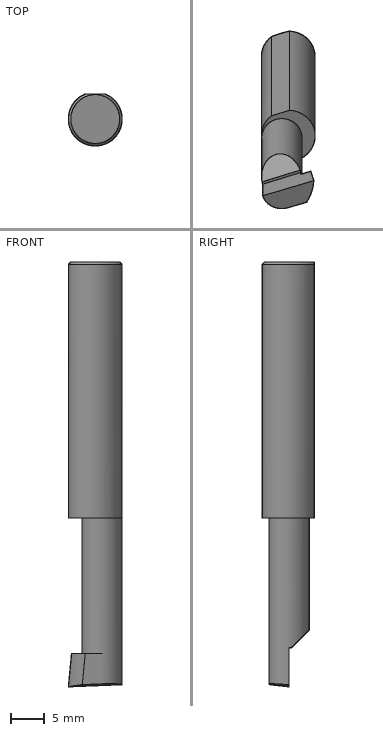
import cadquery as cq

total_length = 63.0
oversize = 18.9

shank_radius = 4.0
shank_length = 38.0
shank_chamfer = 0.4
flat_offset = 3.75

neck_radius = 3.0
neck_x = shank_radius - neck_radius
shank_bottom = total_length - shank_length

relief_floor_z = 5.8
relief_step = 0.4

head_height = 5.0
head_lean = 0.47
tip_x = -shank_radius
flank_middle = (-3.45, -1.15)
flank_end = (-2.8, -2.15)
heel_x = -1.95

end_rise_x = 0.04
end_rise_y = 0.09


def make_shank():
    shank = (
        cq.Workplane("XY")
        .workplane(offset=shank_bottom)
        .circle(shank_radius)
        .extrude(shank_length)
        .faces(">Z")
        .chamfer(shank_chamfer)
    )
    beyond_flat = (
        cq.Workplane("XY")
        .workplane(offset=shank_bottom)
        .center(0, flat_offset + oversize / 2)
        .rect(oversize, oversize)
        .extrude(shank_length)
    )
    return shank.cut(beyond_flat)


def make_neck():
    neck = cq.Workplane("XY").center(neck_x, 0).circle(neck_radius).extrude(shank_bottom)
    runout = neck_radius + 0.6 - relief_step
    relief = (
        cq.Workplane("YZ")
        .moveTo(0, 0)
        .lineTo(0, relief_floor_z)
        .lineTo(relief_step, relief_floor_z)
        .line(runout, runout)
        .lineTo(relief_step + runout, 0)
        .close()
        .extrude(oversize, both=True)
    )
    return neck.cut(relief)


def head_outline(z, shift):
    """Closed plan outline of the head at height z, with its cutting side moved by shift."""
    return (
        cq.Workplane("XY")
        .workplane(offset=z)
        .moveTo(neck_x, 0)
        .lineTo(tip_x + shift, 0)
        .threePointArc(
            (flank_middle[0] + shift, flank_middle[1]),
            (flank_end[0] + shift, flank_end[1]),
        )
        .lineTo(heel_x + shift, -neck_radius)
        .lineTo(neck_x, -neck_radius)
        .close()
        .wire()
        .val()
    )


def make_head():
    bottom = head_outline(0, 0)
    top = head_outline(head_height, head_lean)
    return cq.Workplane(cq.Solid.makeLoft([bottom, top], True))


def make_end_clearance():
    """Slab below the sloping end face, which passes through the tip."""
    end_face = cq.Plane(
        origin=(tip_x, 0, 0),
        xDir=(1, 0, end_rise_x),
        normal=(-end_rise_x, end_rise_y, 1),
    )
    return cq.Workplane(end_face).rect(2 * oversize, 2 * oversize).extrude(-oversize)


result = make_shank().union(make_neck()).union(make_head()).cut(make_end_clearance())